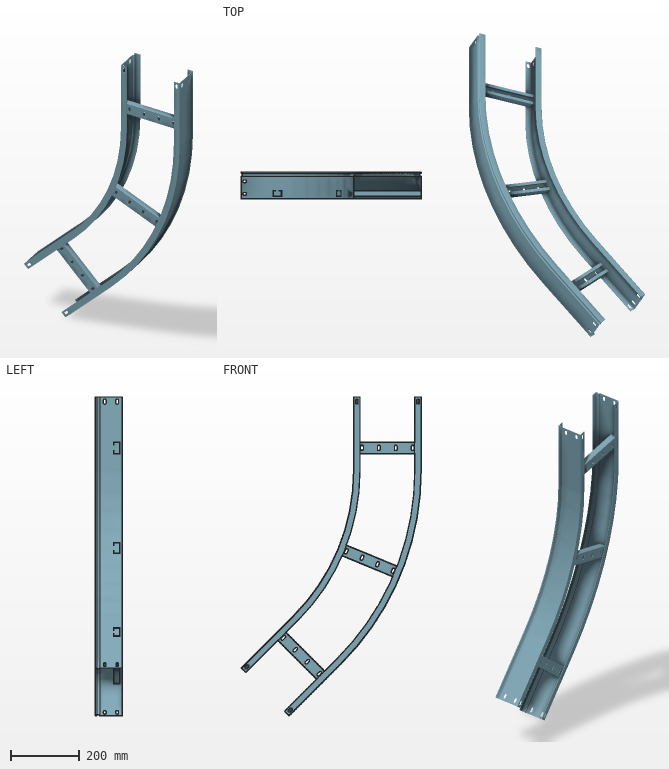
import cadquery as cq
import math


bend_angle = 45.0
tray_width = 200.0
inner_radius = 600.0
outer_radius = inner_radius + tray_width
overall_height = 938.0
bend_sine = math.sin(math.radians(bend_angle))
bend_cosine = math.cos(math.radians(bend_angle))
straight_length = (overall_height - outer_radius * bend_sine) / (1 + bend_cosine)

sheet = 1.4
rail_depth = 80.0
flange_width = 20.0
groove_start = 67.5
groove_end = 75.0
groove_depth = 4.0
groove_floor_radius = 2.0
web_bend_radius = groove_depth - groove_floor_radius
hem_radius = (rail_depth - groove_end) / 2

slot_width = 7.5
slot_length = 15.0
end_slot_offset = 14.0
web_slot_depths = (15.0, 52.0)
flange_slot_offset = 10.0
cut_depth = 19.0

rung_end_offset = 150.0
rung_width = 35.0
rung_front = 7.0
rung_depth = 19.0
rung_lip = 9.0
rung_slot_count = 4
rung_slot_pitch = 50.0
middle_rung_shift = 4.0
rung_middle = (inner_radius + outer_radius) / 2


def to_lower_end(body):
    """Mirror a body of the upper straight end onto the lower straight end."""
    return body.mirror("XY").rotate((0, 0, 0), (0, 1, 0), bend_angle)


def rail_section(web_radius, inward):
    """Closed rail section; inward is +1 if the flanges point away from the bend axis, else -1."""

    def at(width, depth):
        return (web_radius + inward * width, depth)

    web_reach = web_bend_radius * (1 - math.sqrt(0.5))
    floor_reach = groove_floor_radius * (1 - math.sqrt(0.5))
    return (
        cq.Workplane("XY")
        .moveTo(*at(0, 0))
        .lineTo(*at(0, groove_start - web_bend_radius))
        .threePointArc(at(web_reach, groove_start - web_reach), at(web_bend_radius, groove_start))
        .threePointArc(
            at(groove_depth - floor_reach, groove_start + floor_reach),
            at(groove_depth, groove_start + groove_floor_radius),
        )
        .lineTo(*at(groove_depth, groove_end - groove_floor_radius))
        .threePointArc(
            at(groove_depth - floor_reach, groove_end - floor_reach),
            at(web_bend_radius, groove_end),
        )
        .lineTo(*at(hem_radius, groove_end))
        .threePointArc(at(0, groove_end + hem_radius), at(hem_radius, rail_depth))
        .lineTo(*at(flange_width, rail_depth))
        .lineTo(*at(flange_width, rail_depth - sheet))
        .lineTo(*at(groove_depth + sheet, rail_depth - sheet))
        .lineTo(*at(groove_depth + sheet, groove_start - sheet))
        .lineTo(*at(sheet, groove_start - sheet))
        .lineTo(*at(sheet, sheet))
        .lineTo(*at(flange_width, sheet))
        .lineTo(*at(flange_width, 0))
        .close()
    )


def end_slots(web_radius, inward):
    """Cutters for two slots in the web and one in the front flange, at the upper rail end."""
    slot_z = straight_length - end_slot_offset
    web_cutters = (
        cq.Workplane("YZ", origin=(web_radius, 0, slot_z))
        .pushPoints([(depth, 0) for depth in web_slot_depths])
        .slot2D(slot_length, slot_width, 90)
        .extrude(cut_depth / 2, both=True)
    )
    flange_cutter = (
        cq.Workplane("XZ", origin=(web_radius + inward * flange_slot_offset, 0, slot_z))
        .slot2D(slot_length, slot_width, 90)
        .extrude(cut_depth / 2, both=True)
    )
    return web_cutters.add(flange_cutter).combine()


def side_rail(web_radius, inward, through_rungs):
    """Bent rail with a straight part at each end, slotted at both ends."""
    upper_end = rail_section(web_radius, inward).extrude(straight_length)
    bend = rail_section(web_radius, inward).revolve(bend_angle, (0, 0), (0, 1))
    rail = bend.union(upper_end).union(to_lower_end(upper_end))
    slots = end_slots(web_radius, inward)
    rail = rail.cut(slots).cut(to_lower_end(slots))
    for rung in through_rungs:
        rail = rail.cut(rung)
    return rail


def rung_bar():
    """Lipped channel along X, open towards +Y, with a row of slots in its front wall."""
    middle_depth = rung_front + rung_depth / 2
    outside = (
        cq.Workplane("YZ", origin=(inner_radius, middle_depth, 0))
        .rect(rung_depth, rung_width)
        .extrude(tray_width)
    )
    inside = (
        cq.Workplane("YZ", origin=(inner_radius, middle_depth, 0))
        .rect(rung_depth - 2 * sheet, rung_width - 2 * sheet)
        .extrude(tray_width)
    )
    opening = (
        cq.Workplane("YZ", origin=(inner_radius, rung_front + rung_depth, 0))
        .rect(rung_depth, rung_width - 2 * rung_lip)
        .extrude(tray_width)
    )
    slots = (
        cq.Workplane("XZ", origin=(rung_middle, rung_front, 0))
        .rarray(rung_slot_pitch, 9, rung_slot_count, 1)
        .slot2D(slot_length, slot_width, 90)
        .extrude(cut_depth / 2, both=True)
    )
    return outside.cut(inside).cut(opening).cut(slots)


def end_rung():
    """Rung of the upper straight end, flush with the outer faces of both webs."""
    return rung_bar().translate((0, 0, straight_length - rung_end_offset))


def middle_rung():
    """Rung halfway round the bend, its ends shaped to the inner faces of both webs."""
    between_webs = (
        cq.Workplane("XZ")
        .circle(outer_radius - sheet)
        .circle(inner_radius + sheet)
        .extrude(-rail_depth)
    )
    bar = rung_bar().translate((0, 0, middle_rung_shift)).intersect(between_webs)
    return bar.rotate((0, 0, 0), (0, 1, 0), bend_angle / 2)


upper_rung = end_rung()
lower_rung = to_lower_end(upper_rung)
end_rungs = [upper_rung, lower_rung]
rungs = [upper_rung, middle_rung(), lower_rung]

inner_rail = side_rail(inner_radius, 1, end_rungs)
outer_rail = side_rail(outer_radius, -1, end_rungs)

result = cq.Compound.makeCompound(
    [inner_rail.val(), outer_rail.val(), *[rung.val() for rung in rungs]]
)